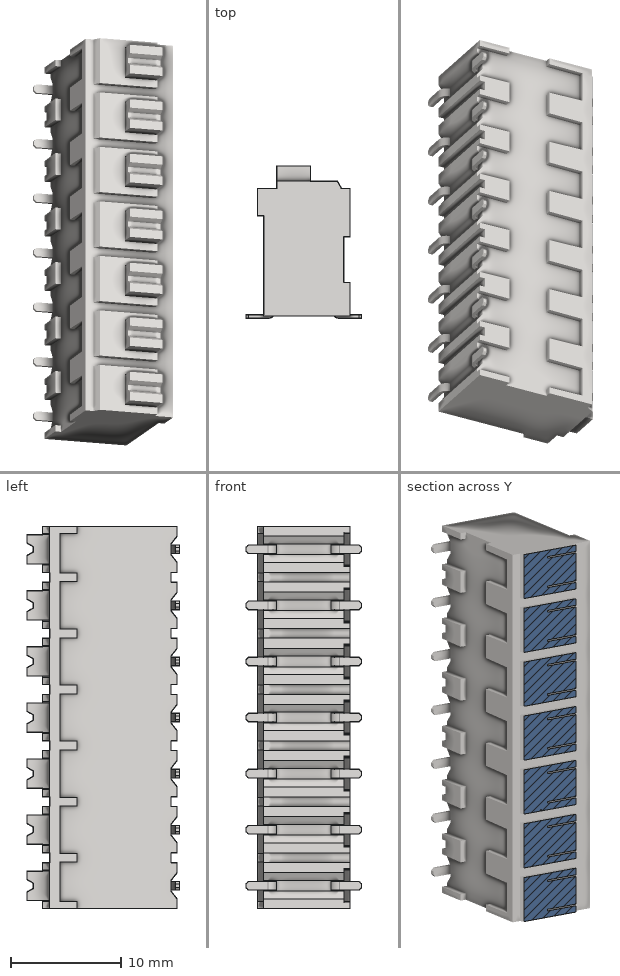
import cadquery as cq

length = 34.68
pole_count = 7
first_pole_z = 2.08
pole_pitch = (length - 2 * first_pole_z) / (pole_count - 1)
pole_centres = [first_pole_z + i * pole_pitch for i in range(pole_count)]
gap_centres = [z + pole_pitch / 2 for z in pole_centres[:-1]]

core_half_width = 3.65
outer_half_width = 4.2
base_y = 0.2
shoulder_y = 11.8
crown_y = 12.45
crown_left_x = -2.45
crown_right_x = 3.05
crown_foot_x = 3.45
side_recess_bottom_y = 3.25
side_recess_top_y = 7.4

lip_bottom_y = 10.82
finger_bottom_y = 9.3
finger_width = 0.8
end_wall = 0.65

groove_depth = 0.55
groove_floor_width = 0.97
groove_mouth_width = 2.4
gap_width = 0.85

tab_right_x = 0.62
tab_top_y = 13.85
tab_width = 2.67
tab_clearance = 0.1
notch_mouth = 1.1
notch_floor = 0.5
notch_depth = 0.55

pocket_mouth_width = 3.15
pocket_inner_width = 2.85
pocket_end_wall = 0.6

pin_span = 10.5
pin_width = 0.8
pin_thickness = 0.35
pin_bend_radius = 0.8
pin_leg_inner_x = 2.45
pin_tip_chamfer = 0.25
pin_root = 0.35


def block(x_range, y_range, z_range):
    """Box spanning the given X, Y and Z ranges."""
    x0, x1 = x_range
    y0, y1 = y_range
    z0, z1 = z_range
    return cq.Workplane("XY").box(x1 - x0, y1 - y0, z1 - z0, centered=False).translate((x0, y0, z0))


def around(centre, width):
    """Range of the given width about a centre."""
    return (centre - width / 2, centre + width / 2)


def along_x(points, x_range):
    """Prism along X from an outline of (y, z) points."""
    x0, x1 = x_range
    return cq.Workplane("YZ", origin=(x0, 0, 0)).polyline(points).close().extrude(x1 - x0)


def make_housing():
    outline = [
        (-core_half_width, base_y),
        (outer_half_width, base_y),
        (outer_half_width, side_recess_bottom_y),
        (core_half_width, side_recess_bottom_y),
        (core_half_width, side_recess_top_y),
        (outer_half_width, side_recess_top_y),
        (outer_half_width, shoulder_y),
        (crown_foot_x, shoulder_y),
        (crown_right_x, crown_y),
        (crown_left_x, crown_y),
        (crown_left_x, shoulder_y),
        (-core_half_width, shoulder_y),
    ]
    return cq.Workplane("XY").polyline(outline).close().extrude(length)


def make_lip():
    lip_x = (-outer_half_width, -core_half_width)
    lip = block(lip_x, (lip_bottom_y, shoulder_y), (0, length))
    finger_spans = [around(z, finger_width) for z in gap_centres]
    finger_spans += [(0, end_wall), (length - end_wall, length)]
    for span in finger_spans:
        lip = lip.union(block(lip_x, (finger_bottom_y, lip_bottom_y), span))
    return lip


def make_base_groove(z):
    floor = around(z, groove_floor_width)
    mouth = around(z, groove_mouth_width)
    floor_y = base_y + groove_depth
    points = [(base_y, mouth[0]), (floor_y, floor[0]), (floor_y, floor[1]), (base_y, mouth[1])]
    return along_x(points, (-core_half_width, outer_half_width))


def make_side_pocket(z):
    """Pocket whose walls draw together away from the base, kept clear of the end walls."""
    pocket_x = (core_half_width, outer_half_width)
    end_y = lip_bottom_y
    mouth = around(z, pocket_mouth_width)
    inner = around(z, pocket_inner_width)
    points = [(base_y, mouth[0]), (end_y, inner[0]), (end_y, inner[1]), (base_y, mouth[1])]
    clear_of_ends = block(pocket_x, (base_y, end_y), (pocket_end_wall, length - pocket_end_wall))
    return along_x(points, pocket_x).intersect(clear_of_ends)


def make_gap(z):
    """Slots across the base and the crown between two poles."""
    gap_x = (-core_half_width, outer_half_width)
    base_slot = block(gap_x, (base_y, base_y + groove_depth), around(z, gap_width))
    crown_slot = block(gap_x, (shoulder_y, crown_y), around(z, gap_width))
    return base_slot.union(crown_slot)


def make_tab_seat(z):
    """Opening in the crown, slightly wider than the tab that stands in it."""
    seat_width = tab_width + 2 * tab_clearance
    return block((crown_left_x, tab_right_x), (shoulder_y, crown_y), around(z, seat_width))


def make_tab(z):
    tab = block((crown_left_x, tab_right_x), (shoulder_y, tab_top_y), around(z, tab_width))
    mouth = around(z, notch_mouth)
    floor = around(z, notch_floor)
    floor_y = tab_top_y - notch_depth
    points = [(tab_top_y, mouth[0]), (floor_y, floor[0]), (floor_y, floor[1]), (tab_top_y, mouth[1])]
    return tab.cut(along_x(points, (crown_left_x, tab_right_x)))


def make_pin(z):
    """Pin on the +X side: a leg from the housing, bent outwards into a flat foot."""
    leg_top_y = base_y + groove_depth + pin_root
    leg_outer_x = pin_leg_inner_x + pin_thickness
    bend_x = pin_leg_inner_x + pin_bend_radius
    return (
        cq.Workplane("XY", origin=(0, 0, z - pin_width / 2))
        .moveTo(pin_leg_inner_x, leg_top_y)
        .lineTo(pin_leg_inner_x, pin_bend_radius)
        .radiusArc((bend_x, 0), -pin_bend_radius)
        .lineTo(pin_span / 2, 0)
        .lineTo(pin_span / 2, pin_thickness)
        .lineTo(bend_x, pin_thickness)
        .radiusArc((leg_outer_x, pin_bend_radius), pin_bend_radius - pin_thickness)
        .lineTo(leg_outer_x, leg_top_y)
        .close()
        .extrude(pin_width)
        .faces(">X")
        .edges("|Y")
        .chamfer(pin_tip_chamfer)
    )


result = make_housing().union(make_lip())
for gap_z in gap_centres:
    result = result.cut(make_gap(gap_z))
for pole_z in pole_centres:
    result = result.cut(make_base_groove(pole_z))
    result = result.cut(make_side_pocket(pole_z))
    result = result.cut(make_tab_seat(pole_z))
    pin = make_pin(pole_z)
    result = result.union(make_tab(pole_z))
    result = result.union(pin).union(pin.mirror("YZ"))